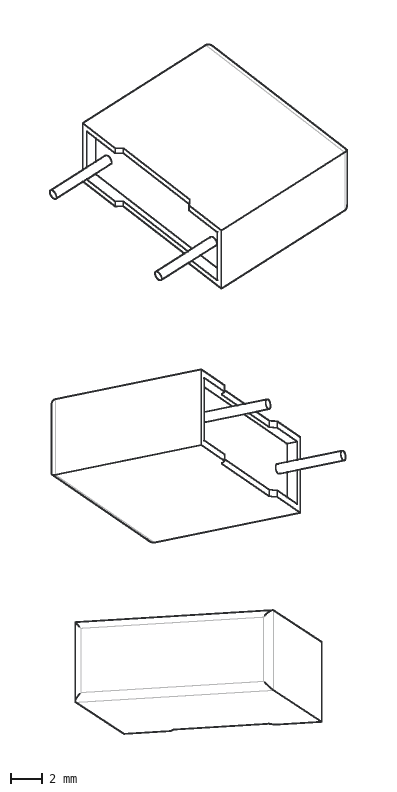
import cadquery as cq

width = 13.2
height = 5.21
total_length = 15.1
lead_length = 3.99
case_length = total_length - lead_length
edge_radius = 0.51

side_wall = 0.41
face_wall = 0.45
end_wall = 0.45
cavity_width = width - 2 * side_wall
cavity_height = height - 2 * face_wall

notch_depth = 0.4
notch_rim_width = 7.0
notch_floor_width = 6.34

resin_recess = 0.75
lead_diameter = 0.65
lead_pitch = 10.0
lead_embedment = 0.9

rim_y = -case_length / 2
resin_y = rim_y + resin_recess
cavity_end_y = case_length / 2 - end_wall
lead_tip_y = rim_y - lead_length
lead_root_y = resin_y + lead_embedment


def box_along_y(x_size, z_size, y_start, y_end):
    """Box centred on the Y axis between two Y positions."""
    return (
        cq.Workplane("XY")
        .box(x_size, y_end - y_start, z_size)
        .translate((0, (y_start + y_end) / 2, 0))
    )


def make_notches():
    """Tapered bar across both wide walls that cuts their relief notches."""
    half_rim = notch_rim_width / 2
    half_floor = notch_floor_width / 2
    floor_y = rim_y + notch_depth
    return (
        cq.Workplane("XY")
        .polyline([(-half_rim, rim_y), (half_rim, rim_y), (half_floor, floor_y), (-half_floor, floor_y)])
        .close()
        .extrude(height / 2, both=True)
    )


def make_case():
    """Cup with a rounded closed end and a notched rim."""
    case = cq.Workplane("XY").box(width, case_length, height).faces(">Y").edges().fillet(edge_radius)
    cavity = box_along_y(cavity_width, cavity_height, rim_y, cavity_end_y)
    return case.cut(cavity).cut(make_notches())


def make_lead(x):
    """Round wire from its tip to its root inside the resin."""
    return cq.Workplane("XY").add(
        cq.Solid.makeCylinder(
            lead_diameter / 2, lead_root_y - lead_tip_y, cq.Vector(x, lead_tip_y, 0), cq.Vector(0, 1, 0)
        )
    )


def make_resin(leads):
    """Block that fills the cavity and has a matching hole for each lead."""
    resin = box_along_y(cavity_width, cavity_height, resin_y, cavity_end_y)
    for lead in leads:
        resin = resin.cut(lead)
    return resin


case = make_case()
leads = [make_lead(side * lead_pitch / 2) for side in (-1, 1)]
resin = make_resin(leads)

result = cq.Compound.makeCompound([case.val(), resin.val(), *[lead.val() for lead in leads]])